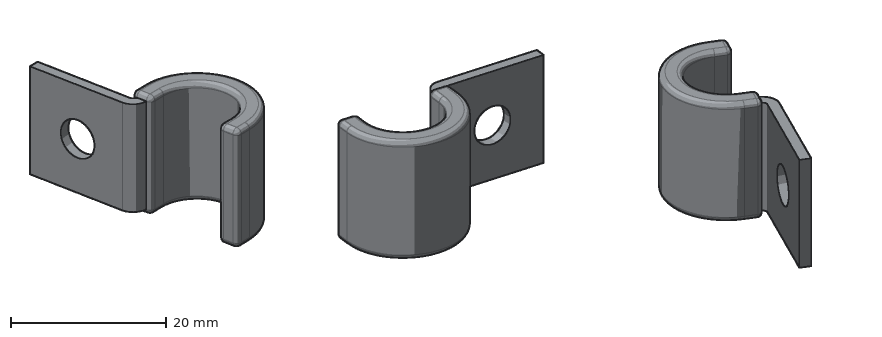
import cadquery as cq

total_length = 32.45
total_depth = 13.4
sleeve_height = 17.45

outer_radius = 8.67
inner_radius = 5.55
left_leg = 2.55
right_leg = 2.47
edge_radius = 0.78

strap_thickness = 1.6
strap_height = sleeve_height - 2 * edge_radius
bend_inner_radius = 0.65
bend_outer_radius = bend_inner_radius + strap_thickness
strap_overlap = 0.65

hole_diameter = 5.55
hole_from_tab_end = 7.9

tab_end_x = outer_radius - total_length
tab_front_y = outer_radius - total_depth
tab_back_y = tab_front_y + strap_thickness
leg_middle_x = -(outer_radius + inner_radius) / 2
strap_left_x = leg_middle_x - strap_thickness / 2
strap_right_x = strap_left_x + strap_thickness
bend_x = strap_left_x - bend_inner_radius
bend_y = tab_back_y + bend_inner_radius
strap_top_y = -left_leg + strap_overlap


def make_sleeve():
    """Half-ring sleeve with every sharp edge rounded."""
    sleeve = (
        cq.Workplane("XY")
        .moveTo(-outer_radius, -left_leg)
        .lineTo(-outer_radius, 0)
        .threePointArc((0, outer_radius), (outer_radius, 0))
        .lineTo(outer_radius, -right_leg)
        .lineTo(inner_radius, -right_leg)
        .lineTo(inner_radius, 0)
        .threePointArc((0, inner_radius), (-inner_radius, 0))
        .lineTo(-inner_radius, -left_leg)
        .close()
        .extrude(sleeve_height / 2, both=True)
    )
    leg_ends = cq.selectors.BoxSelector(
        (-total_length, -total_length, -sleeve_height),
        (total_length, -right_leg / 2, sleeve_height),
    )
    rims = sleeve.faces("|Z").edges()
    return rims.add(sleeve.edges("|Z").edges(leg_ends)).fillet(edge_radius)


def make_strap():
    """Flat tab with a rounded bend leading into the sleeve."""
    diagonal = 0.5 ** 0.5

    def bend_middle(radius):
        return bend_x + radius * diagonal, bend_y - radius * diagonal

    strap = (
        cq.Workplane("XY")
        .moveTo(tab_end_x, tab_front_y)
        .lineTo(bend_x, tab_front_y)
        .threePointArc(bend_middle(bend_outer_radius), (strap_right_x, bend_y))
        .lineTo(strap_right_x, strap_top_y)
        .lineTo(strap_left_x, strap_top_y)
        .lineTo(strap_left_x, bend_y)
        .threePointArc(bend_middle(bend_inner_radius), (bend_x, tab_back_y))
        .lineTo(tab_end_x, tab_back_y)
        .close()
        .extrude(strap_height / 2, both=True)
    )
    hole = (
        cq.Workplane("XZ", origin=(tab_end_x + hole_from_tab_end, tab_front_y, 0))
        .circle(hole_diameter / 2)
        .extrude(-strap_thickness)
    )
    return strap.cut(hole)


result = make_sleeve().union(make_strap())